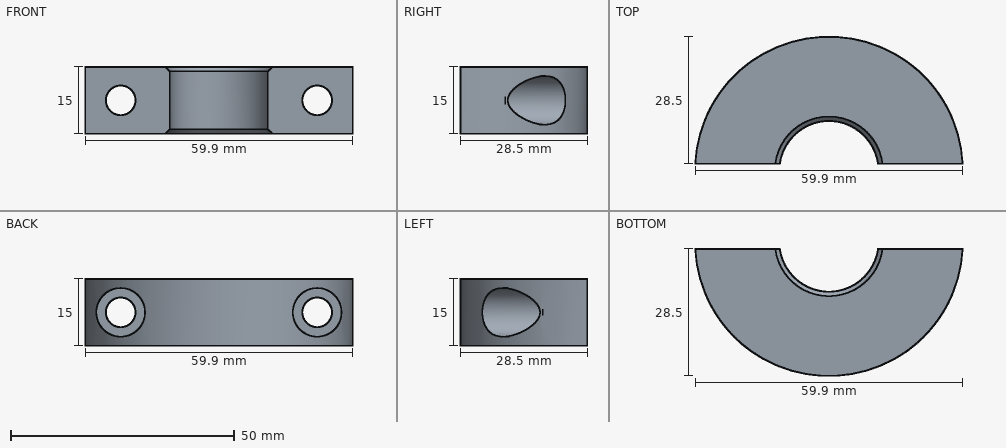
import cadquery as cq
import math

width = 59.9
thickness = 15.0
split_gap = 1.5
bore_radius = 11.1
bore_chamfer = 1.0
screw_spacing = 44.0
screw_hole_diameter = 6.6
head_diameter = 10.9
head_seat_height = 10.0

outer_radius = math.hypot(width / 2, split_gap)
axis_y = -split_gap


def ring_half():
    """Chamfered ring, trimmed to the side beyond the split face."""
    ring = (
        cq.Workplane("XY")
        .center(0, axis_y)
        .circle(outer_radius)
        .circle(bore_radius)
        .extrude(thickness / 2, both=True)
    )
    ring = ring.edges(cq.selectors.RadiusNthSelector(0)).chamfer(bore_chamfer)
    keep = cq.Workplane("XY").box(
        2 * width, width, 2 * thickness, centered=(True, False, True)
    )
    return ring.intersect(keep)


def cylinder_along_y(x, start_y, diameter):
    """Cutter running from start_y out past the rim."""
    return cq.Workplane(
        cq.Solid.makeCylinder(diameter / 2, width, cq.Vector(x, start_y, 0), cq.Vector(0, 1, 0))
    )


result = ring_half()
for screw_x in (-screw_spacing / 2, screw_spacing / 2):
    result = result.cut(cylinder_along_y(screw_x, 0, screw_hole_diameter))
    result = result.cut(cylinder_along_y(screw_x, head_seat_height, head_diameter))